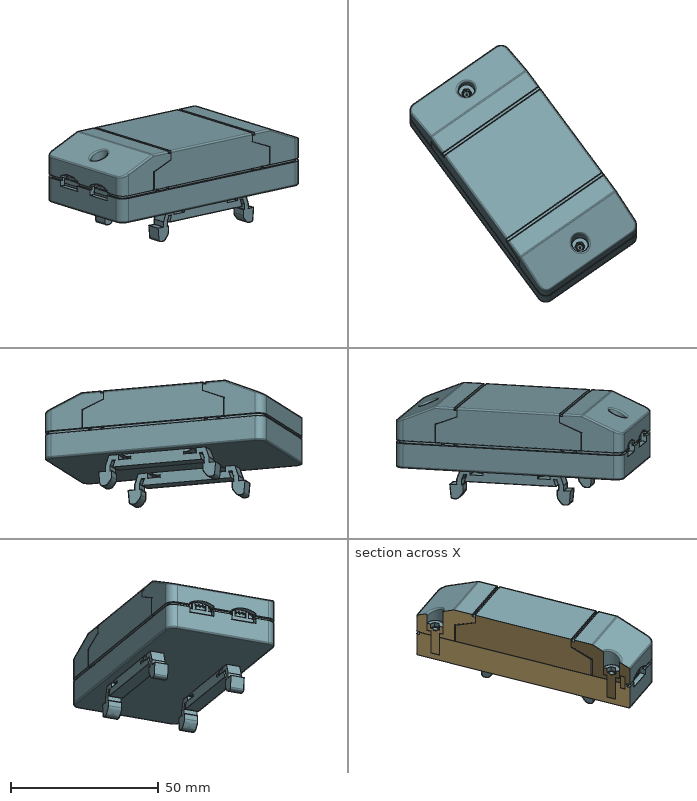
import cadquery as cq
import math

length = 80.0
width = 40.2
height = 22.0
corner_radius = 3.0
edge_round = 0.55
base_height = 8.55
groove_height = 0.95
groove_depth = 0.95
parting_z = base_height + groove_height

slope_start_y = 26.0
slope_end_z = 16.1
ridge_round = 1.2

cover_top_half = 18.0
cover_step_z = 18.95
cover_shoulder_z = 15.9
cover_foot_half = 25.5
cap_clearance = 0.2
roof_slot_width = 1.0
roof_slot_depth = 0.8

rim_slot_width = 0.95
rim_slot_places = (18.8, 23.3)

screw_y = 33.0
head_diameter = 5.75
bore_rim_round = 0.55
head_seat_z = parting_z + 1.6
head_height = 2.8
shank_diameter = 3.0
shank_end_z = 2.4
socket_flats = 2.8
socket_depth = 1.6
socket_point_diameter = 2.1
socket_tip_diameter = 0.55
socket_point_depth = 0.6

window_x = 7.8
window_width = 8.95
window_sill_z = 6.7
window_side_z = 10.15
window_crown_z = 11.4
window_depth = 1.9

comb_bottom_z = 7.4
comb_top_z = 12.0
comb_thickness = 1.6
comb_front_y = -length / 2 + window_depth
mouth_x = 7.4
mouth_width = 4.0
mouth_bottom_z = 8.95
tooth_root_z = 10.9
tooth_tip_z = 10.15
tooth_count = 3
post_width = 1.0
pocket_depth = 0.8

clip_x = 14.2
clip_offset_y = 0.2
clip_width = 4.95
bar_half_length = 16.1
bar_bottom = 4.15
bar_top_half_length = 15.3
relief_depth = 1.75
leg_top_outer = 17.5
leg_outer = 18.8
leg_inner = 17.0
leg_top_inner = 16.3
leg_bend = 3.6
foot_top = 5.4
foot_outer = 21.2
foot_lower_outer = 20.8
foot_inner = 16.55
foot_inner_end = 7.4
foot_outer_end = 9.6
foot_tip_y = 19.3
foot_flank_y = 17.35
foot_flank = 9.1
foot_tip = 10.4
notch_outer = 14.1
notch_inner = 9.6
notch_ramp_end = 11.2
notch_ramp_start = 12.9
notch_height = 0.8


def box(x0, x1, y0, y1, z0, z1):
    """Block between two opposite corners."""
    return cq.Workplane("XY").box(x1 - x0, y1 - y0, z1 - z0, centered=False).translate((x0, y0, z0))


def rounded_block(inset, bottom, top):
    """Plan outline of the enclosure, moved inward by the inset, between two heights."""
    return (
        cq.Workplane("XY", origin=(0, 0, bottom))
        .rect(width - 2 * inset, length - 2 * inset)
        .extrude(top - bottom)
        .edges("|Z")
        .fillet(corner_radius - inset)
    )


def across_width(points):
    """Prism spanning the enclosure width, from (y, z) points."""
    return cq.Workplane("YZ").polyline(points).close().extrude(width, both=True)


def make_base():
    tray = rounded_block(0, 0, base_height).faces("<Z").edges().fillet(edge_round)
    base = tray.union(rounded_block(groove_depth, base_height, parting_z))
    for side in (-1, 1):
        rim_x = side * (width / 2 - groove_depth)
        for end in (-1, 1):
            for place in rim_slot_places:
                slot = cq.Workplane("XY", origin=(rim_x, end * place, base_height)).rect(
                    2 * groove_depth, rim_slot_width
                )
                base = base.cut(slot.extrude(groove_height))
    return base


def make_upper_shell():
    """Whole upper half with its sloped ends and rounded roof edges, before it is divided."""
    roof = across_width([
        (-length / 2, parting_z),
        (length / 2, parting_z),
        (length / 2, slope_end_z),
        (slope_start_y, height),
        (-slope_start_y, height),
        (-length / 2, slope_end_z),
    ])
    roof = roof.faces(">Z").edges("|X").fillet(ridge_round)
    shell = rounded_block(0, parting_z, height).intersect(roof)
    return shell.faces(">Z").edges("<X").fillet(edge_round)


def cover_region(clearance):
    """Space of the centre cover, with its lower sides widened by the clearance."""
    foot = cover_foot_half + clearance
    right_side = [
        (foot, 0),
        (foot, cover_shoulder_z),
        (cover_top_half, cover_step_z),
        (cover_top_half, 2 * height),
    ]
    left_side = [(-y, z) for y, z in reversed(right_side)]
    return across_width(right_side + left_side)


def make_end_cap(shell, end):
    """Cap at one end of the roof, with its screw bore and the slot next to the cover."""
    half = box(-width, width, 0, length, 0, height)
    if end < 0:
        half = half.mirror("XZ")
    cap = shell.intersect(half).cut(cover_region(cap_clearance))
    slot_middle = end * (cover_top_half + roof_slot_width / 2)
    slot = cq.Workplane("XY", origin=(0, slot_middle, height - roof_slot_depth))
    cap = cap.cut(slot.rect(2 * width, roof_slot_width).extrude(height))
    bore = cq.Workplane("XY", origin=(0, end * screw_y, head_seat_z)).circle(head_diameter / 2)
    cap = cap.cut(bore.extrude(height))
    reach = head_diameter
    rim = cq.selectors.BoxSelector(
        (-reach, end * screw_y - reach, slope_end_z), (reach, end * screw_y + reach, height)
    )
    return cap.edges(rim).edges("not #Z").fillet(bore_rim_round)


def make_screw_body(end):
    """Solid form of one screw: cylinder head and shank."""
    axis = cq.Workplane("XY", origin=(0, end * screw_y, head_seat_z))
    head = axis.circle(head_diameter / 2).extrude(head_height)
    return head.union(axis.circle(shank_diameter / 2).extrude(shank_end_z - head_seat_z))


def make_screw(end):
    """Screw with a hexagon socket that ends in a blunt conical point."""
    floor_z = head_seat_z + head_height - socket_depth
    floor = cq.Workplane("XY", origin=(0, end * screw_y, floor_z))
    corner_diameter = socket_flats / math.cos(math.pi / 6)
    socket = floor.transformed(rotate=(0, 0, 90)).polygon(6, corner_diameter).extrude(socket_depth)
    point = cq.Workplane(
        cq.Solid.makeCone(
            socket_point_diameter / 2,
            socket_tip_diameter / 2,
            socket_point_depth,
            cq.Vector(0, end * screw_y, floor_z),
            cq.Vector(0, 0, -1),
        )
    )
    return make_screw_body(end).cut(socket).cut(point)


def window_opening(side, depth):
    """Arched cable opening, cut inward from the front end."""
    half = window_width / 2
    return (
        cq.Workplane("XZ", origin=(side * window_x, -length / 2, 0))
        .moveTo(-half, window_sill_z)
        .lineTo(half, window_sill_z)
        .lineTo(half, window_side_z)
        .threePointArc((0, window_crown_z), (-half, window_side_z))
        .close()
        .extrude(-depth)
    )


def comb_slab():
    """Space of the comb, wide enough to close both windows."""
    half = window_x + window_width / 2
    return box(-half, half, comb_front_y, comb_front_y + comb_thickness, comb_bottom_z, comb_top_z)


def mouth_pocket(side):
    """Pocket whose upper edge is a row of pointed teeth."""
    pitch = mouth_width / tooth_count
    left = side * mouth_x - mouth_width / 2
    points = [(left, mouth_bottom_z), (left, tooth_root_z)]
    for tooth in range(tooth_count):
        points.append((left + (tooth + 0.5) * pitch, tooth_tip_z))
        points.append((left + (tooth + 1) * pitch, tooth_root_z))
    points.append((left + mouth_width, mouth_bottom_z))
    return cq.Workplane("XZ", origin=(0, comb_front_y, 0)).polyline(points).close().extrude(-pocket_depth)


def make_comb():
    """Strip with a toothed mouth between two posts behind each window, and pockets beside them."""
    comb = comb_slab()
    posts_half = mouth_width / 2 + post_width
    for side in (-1, 1):
        middle = side * mouth_x
        beside = window_opening(side, window_depth + pocket_depth)
        beside = beside.cut(box(middle - posts_half, middle + posts_half, -length, length, 0, height))
        beside = beside.intersect(box(-width, width, -length, length, mouth_bottom_z, height))
        comb = comb.cut(beside).cut(mouth_pocket(side))
    return comb


def make_clip(x):
    """Snap clip: a bar with a springy leg and a rounded foot at each end, as one outline."""
    toe_inner = [(foot_flank_y, -foot_flank), (foot_tip_y, -foot_tip)]
    toe_outer = [(foot_lower_outer, -foot_outer_end)]
    foot_side = (foot_outer - foot_lower_outer, foot_outer_end - foot_top)
    right = cq.Workplane("YZ", origin=(x - clip_width / 2, 0, 0))
    right = (
        right.moveTo(0, -bar_bottom)
        .lineTo(bar_half_length, -bar_bottom)
        .lineTo(bar_top_half_length, -relief_depth)
        .lineTo(leg_top_inner, -relief_depth)
        .lineTo(leg_inner, -leg_bend)
        .lineTo(leg_inner, -foot_top)
        .lineTo(foot_inner, -foot_top)
        .lineTo(foot_inner, -foot_inner_end)
        .spline(toe_inner, tangents=[(0, -1), (1, 0)], includeCurrent=True)
        .spline(toe_outer, tangents=[(1, 0), foot_side], includeCurrent=True)
        .lineTo(foot_outer, -foot_top)
        .lineTo(leg_outer, -foot_top)
        .lineTo(leg_outer, -leg_bend)
        .lineTo(leg_top_outer, 0)
        .lineTo(notch_outer, 0)
        .lineTo(notch_outer, -relief_depth)
        .lineTo(notch_inner, -relief_depth)
        .lineTo(notch_inner, notch_height - relief_depth)
        .lineTo(notch_ramp_end, notch_height - relief_depth)
        .lineTo(notch_ramp_start, 0)
        .lineTo(0, 0)
        .close()
        .extrude(clip_width)
    )
    return right.union(right.mirror("XZ")).translate((0, clip_offset_y, 0))


upper_shell = make_upper_shell()
base = make_base()
cover = upper_shell.intersect(cover_region(0))
screws = []
end_caps = []
for end in (-1, 1):
    screws.append(make_screw(end))
    base = base.cut(make_screw_body(end))
    end_caps.append(make_end_cap(upper_shell, end).cut(make_screw_body(end)))

comb = make_comb()
front_cap, rear_cap = end_caps
front_openings = comb_slab()
for side in (-1, 1):
    front_openings = front_openings.union(window_opening(side, window_depth))
base = base.cut(front_openings)
front_cap = front_cap.cut(front_openings)

clips = [make_clip(side * clip_x) for side in (-1, 1)]

bodies = [base, cover, front_cap, rear_cap, comb] + screws + clips
result = cq.Compound.makeCompound([body.val() for body in bodies])